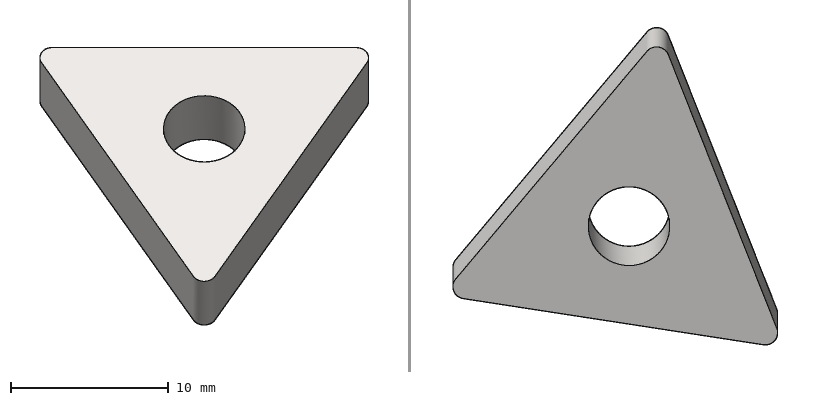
import cadquery as cq
import math

inscribed_diameter = 12.7
thickness = 4.76
corner_radius = 0.794
hole_diameter = 5.16

corner_distance = inscribed_diameter
corner_angles = (90, 210, 330)


def corner_point(angle_degrees):
    """Sharp corner of the triangle at the given direction from the centre."""
    angle = math.radians(angle_degrees)
    return (corner_distance * math.cos(angle), corner_distance * math.sin(angle))


def triangular_body():
    """Equilateral plate with rounded vertical corners, resting on Z = 0."""
    corners = [corner_point(angle) for angle in corner_angles]
    plate = cq.Workplane("XY").polyline(corners).close().extrude(thickness)
    return plate.edges("|Z").fillet(corner_radius)


def clamping_hole():
    """Cylinder through the full thickness at the triangle's centre."""
    return cq.Workplane("XY").circle(hole_diameter / 2).extrude(thickness)


result = triangular_body().cut(clamping_hole())